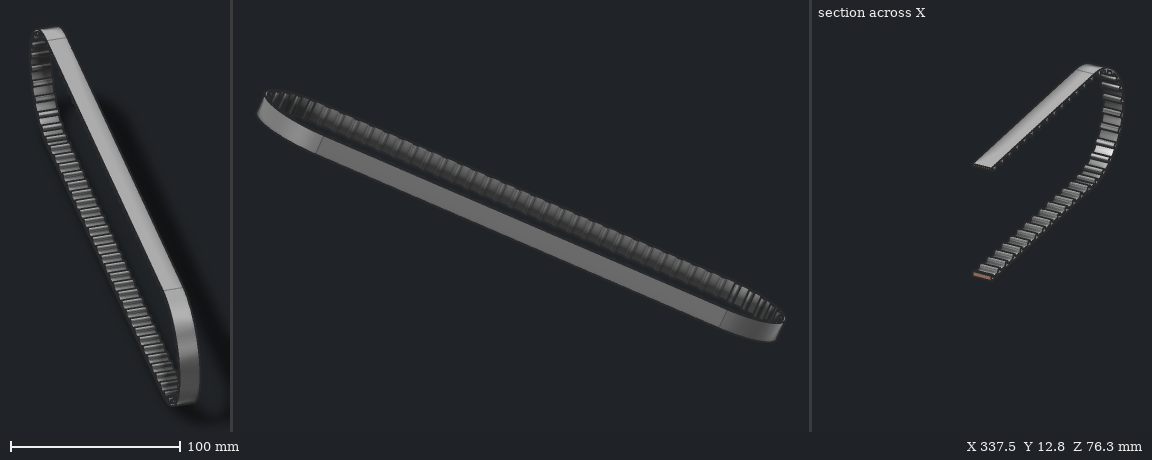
import cadquery as cq
import math

LENGTH = 337.5
HEIGHT = 76.3
WIDTH = 12.8

BACKING = 1.7
TOOTH_HEIGHT = 2.0
TOOTH_TIP_WIDTH = 2.7
FLANK_ANGLE = 15.0
ROOT_FILLET = 0.5
TIP_FILLET = 0.5

STRAIGHT_PITCHES = 27.5
WRAP_PITCHES = 12
TOOTH_SHIFT = 0.3

straight = LENGTH - HEIGHT
pitch = straight / STRAIGHT_PITCHES
wrap_step = 180.0 / WRAP_PITCHES
inner_radius = HEIGHT / 2 - BACKING
inner_length = LENGTH - 2 * BACKING
tooth_count = round(2 * (STRAIGHT_PITCHES + WRAP_PITCHES))


def belt_slab(length, height):
    """Racetrack-shaped slab as wide as the belt."""
    return cq.Workplane("XZ").slot2D(length, height).extrude(WIDTH / 2, both=True)


def upright_tooth():
    """Tooth pointing up with its root on Z = 0 and a foot that sinks half-way into the backing."""
    foot = -BACKING / 2
    half_tip = TOOTH_TIP_WIDTH / 2
    flank = math.radians(FLANK_ANGLE)
    half_root = half_tip + TOOTH_HEIGHT * math.tan(flank)

    turn = math.pi / 2 - flank
    tangent_length = ROOT_FILLET * math.tan(turn / 2)
    toe_x = half_root + tangent_length
    flank_x = half_root - tangent_length * math.sin(flank)
    flank_z = tangent_length * math.cos(flank)
    mid_x = toe_x - ROOT_FILLET * math.sin(turn / 2)
    mid_z = ROOT_FILLET * (1 - math.cos(turn / 2))

    return (
        cq.Workplane("XZ")
        .moveTo(-toe_x, foot)
        .lineTo(-toe_x, 0)
        .threePointArc((-mid_x, mid_z), (-flank_x, flank_z))
        .lineTo(-half_tip, TOOTH_HEIGHT)
        .lineTo(half_tip, TOOTH_HEIGHT)
        .lineTo(flank_x, flank_z)
        .threePointArc((mid_x, mid_z), (toe_x, 0))
        .lineTo(toe_x, foot)
        .close()
        .extrude(WIDTH / 2, both=True)
        .faces(">Z")
        .edges("|Y")
        .fillet(TIP_FILLET)
    )


def tooth_place(index):
    """X position and turn in degrees of a tooth, numbered round the loop from the bottom middle."""
    start = STRAIGHT_PITCHES / 2 + TOOTH_SHIFT / pitch
    travel = (index + start) % tooth_count
    if travel <= STRAIGHT_PITCHES:
        return travel * pitch - straight / 2, 0.0
    travel -= STRAIGHT_PITCHES
    if travel <= WRAP_PITCHES:
        return straight / 2, travel * wrap_step
    travel -= WRAP_PITCHES
    if travel <= STRAIGHT_PITCHES:
        return straight / 2 - travel * pitch, 180.0
    travel -= STRAIGHT_PITCHES
    return -straight / 2, 180.0 + travel * wrap_step


backing = belt_slab(LENGTH, HEIGHT).cut(belt_slab(inner_length, 2 * inner_radius))

bottom_tooth = upright_tooth().translate((0, 0, -inner_radius))
teeth = []
for index in range(tooth_count):
    x, turn = tooth_place(index)
    tooth = bottom_tooth.rotate((0, 0, 0), (0, 1, 0), -turn).translate((x, 0, 0))
    teeth.append(tooth.val())

belt = backing.val().fuse(*teeth).clean()
result = cq.Workplane(belt.Solids()[0])